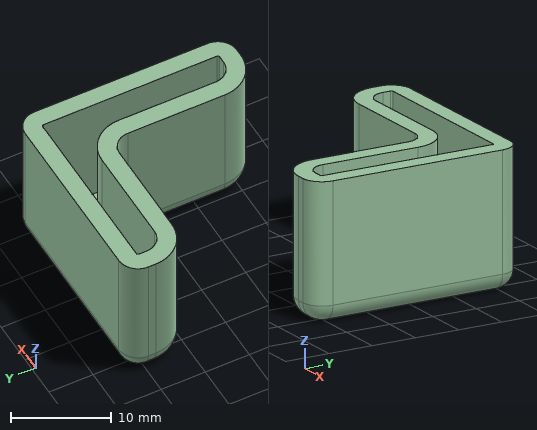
import cadquery as cq

side = 24.0
height = 15.0
leg_width = 7.0
wall = 2.0
bottom_round = 1.97

sharp_radius = 0.2
toe_radius = 2.0
root_radius = 4.0


def angle_prism(offset, base_z):
    """L-shaped prism from base_z to the rim, grown outward from the cavity by offset."""
    outer = side / 2 - wall + offset
    inner = side / 2 - leg_width + wall - offset
    sharp = sharp_radius + offset
    toe = toe_radius + offset
    root = root_radius - offset

    prism = (
        cq.Workplane("XY", origin=(0, 0, base_z))
        .polyline([
            (-outer, outer),
            (outer, outer),
            (outer, -outer),
            (inner, -outer),
            (inner, inner),
            (-outer, inner),
        ])
        .close()
        .extrude(height - base_z)
    )

    def round_corners(body, corners, radius):
        for x, y in corners:
            edge = cq.selectors.NearestToPointSelector((x, y, (base_z + height) / 2))
            body = body.edges("|Z").edges(edge).fillet(radius)
        return body

    prism = round_corners(prism, [(-outer, outer), (outer, outer), (outer, -outer)], sharp)
    prism = round_corners(prism, [(-outer, inner), (inner, -outer)], toe)
    return round_corners(prism, [(inner, inner)], root)


body = angle_prism(wall, 0).faces("<Z").edges().fillet(bottom_round)

cavity = angle_prism(0, wall)

result = body.cut(cavity)